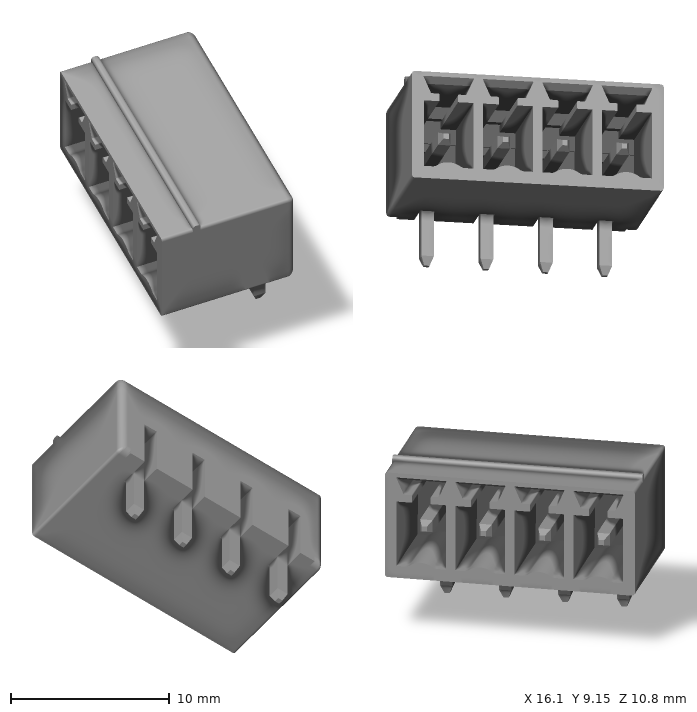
import cadquery as cq
import math


WAYS = 4
PITCH = 3.8

HOUSING_LENGTH = 16.12
HOUSING_DEPTH = 9.15
HOUSING_HEIGHT = 7.0
BACK_ROUND = 0.5
SIDE_ROUND = 0.2

RIB_FRONT = 2.13
RIB_WIDTH = 0.53
RIB_RISE = 0.3
RIB_ROUND = 0.21
RIB_ROOT = HOUSING_HEIGHT - SIDE_ROUND
RIB_TOP = HOUSING_HEIGHT + RIB_RISE

CAVITY_WIDTH = 3.19
CAVITY_FLOOR = 0.79
CAVITY_TOP = 5.1
CAVITY_DEPTH = 6.0

NECK_WIDTH = 1.2
NECK_ROUND = 0.08
KEYWAY_BOTTOM = 5.6
KEYWAY_TOP = 6.7
KEYWAY_BOTTOM_WIDTH = 2.25
KEYWAY_TOP_WIDTH = 3.25
KEYWAY_DEPTH = 5.48
KEYWAY_CORNER_ROUND = 0.1
LEAD_IN_DROP = 0.32
LEAD_IN_DEPTH = 0.63

RECESS_BOTTOM = 2.08
RECESS_TOP = 4.1
RECESS_DEPTH = 0.1

HUMP_WIDTH = 1.74
HUMP_HEIGHT = 0.32
HUMP_FLARE = 0.48

PIN_SIDE = 0.8
PIN_AXIS_HEIGHT = 3.08
PIN_CLEARANCE = 0.08
LEG_AXIS_Y = HOUSING_DEPTH - 1.61
LEG_LENGTH = 3.5
CONTACT_TIP_Y = 0.85
CONTACT_TAPER = 0.63
LEG_TAPER = 0.58
TIP_SIDE = 0.34
SLOT_WIDTH = PIN_SIDE + 2 * PIN_CLEARANCE

WAY_CENTRES = [(way - (WAYS - 1) / 2) * PITCH for way in range(WAYS)]
ROW_LENGTH = (WAYS - 1) * PITCH + CAVITY_WIDTH


def block(x_size, y_start, y_end, z_start, z_end):
    """Box centred on X = 0 that spans the given Y and Z ranges."""
    solid = cq.Workplane("XY").box(x_size, y_end - y_start, z_end - z_start, centered=(True, False, False))
    return solid.translate((0, y_start, z_start))


def make_shell():
    """Rounded block, square again along the lower back edge behind the pins."""
    shell = block(HOUSING_LENGTH, 0, HOUSING_DEPTH, 0, HOUSING_HEIGHT)
    shell = shell.faces(">Y").edges().fillet(BACK_ROUND)
    shell = shell.edges("|Y").fillet(SIDE_ROUND)
    back_bar = block(ROW_LENGTH, HOUSING_DEPTH - 2 * BACK_ROUND, HOUSING_DEPTH, 0, 2 * BACK_ROUND)
    return shell.union(back_bar)


def make_rib():
    """Full-length rib with a rounded top."""
    rib = block(HOUSING_LENGTH, RIB_FRONT, RIB_FRONT + RIB_WIDTH, RIB_ROOT, RIB_TOP)
    return rib.edges("|X and >Z").fillet(RIB_ROUND)


def make_hump():
    """Bar with a circular top and flared feet, lying on the cavity floor."""
    half_width = HUMP_WIDTH / 2
    radius = (half_width**2 + HUMP_HEIGHT**2) / (2 * HUMP_HEIGHT)
    crown_centre = CAVITY_FLOOR + HUMP_HEIGHT - radius
    foot_centre_z = CAVITY_FLOOR + HUMP_FLARE
    foot_x = math.sqrt((radius + HUMP_FLARE) ** 2 - (foot_centre_z - crown_centre) ** 2)
    share = radius / (radius + HUMP_FLARE)
    join_x = foot_x * share
    join_z = crown_centre + (foot_centre_z - crown_centre) * share
    angle = math.atan2(foot_x, foot_centre_z - crown_centre) / 2
    mid_x = foot_x - HUMP_FLARE * math.sin(angle)
    mid_z = foot_centre_z - HUMP_FLARE * math.cos(angle)
    return (
        cq.Workplane("XZ")
        .moveTo(-foot_x, CAVITY_FLOOR)
        .threePointArc((-mid_x, mid_z), (-join_x, join_z))
        .threePointArc((0, CAVITY_FLOOR + HUMP_HEIGHT), (join_x, join_z))
        .threePointArc((mid_x, mid_z), (foot_x, CAVITY_FLOOR))
        .close()
        .extrude(-CAVITY_DEPTH)
    )


def make_keyway():
    """Dovetail groove with rounded lower corners and a sloped lead-in at the front of its ceiling."""
    groove = (
        cq.Workplane("XZ")
        .polyline(
            [
                (-KEYWAY_BOTTOM_WIDTH / 2, KEYWAY_BOTTOM),
                (KEYWAY_BOTTOM_WIDTH / 2, KEYWAY_BOTTOM),
                (KEYWAY_TOP_WIDTH / 2, KEYWAY_TOP),
                (-KEYWAY_TOP_WIDTH / 2, KEYWAY_TOP),
            ]
        )
        .close()
        .extrude(-KEYWAY_DEPTH)
        .edges("|Y and <Z")
        .fillet(KEYWAY_CORNER_ROUND)
    )
    ceiling = (
        cq.Workplane("YZ")
        .polyline(
            [
                (0, KEYWAY_TOP),
                (LEAD_IN_DEPTH, KEYWAY_TOP - LEAD_IN_DROP),
                (KEYWAY_DEPTH, KEYWAY_TOP - LEAD_IN_DROP),
                (KEYWAY_DEPTH, KEYWAY_TOP),
            ]
        )
        .close()
        .extrude(KEYWAY_TOP_WIDTH / 2, both=True)
    )
    return groove.cut(ceiling)


def make_neck():
    """Opening between cavity and keyway, widened by a rounding at the top of each lip."""
    half = NECK_WIDTH / 2
    wide = half + NECK_ROUND
    diagonal = NECK_ROUND * (1 - math.sqrt(0.5))
    return (
        cq.Workplane("XZ")
        .moveTo(-half, CAVITY_TOP)
        .lineTo(half, CAVITY_TOP)
        .lineTo(half, KEYWAY_BOTTOM - NECK_ROUND)
        .threePointArc((half + diagonal, KEYWAY_BOTTOM - diagonal), (wide, KEYWAY_BOTTOM))
        .lineTo(-wide, KEYWAY_BOTTOM)
        .threePointArc((-half - diagonal, KEYWAY_BOTTOM - diagonal), (-half, KEYWAY_BOTTOM - NECK_ROUND))
        .close()
        .extrude(-CAVITY_DEPTH)
    )


def make_way_opening():
    """Everything removed from the housing for one pin and its mating plug."""
    cavity = block(CAVITY_WIDTH, 0, CAVITY_DEPTH, CAVITY_FLOOR, CAVITY_TOP).cut(make_hump())
    recess = block(CAVITY_WIDTH, CAVITY_DEPTH, CAVITY_DEPTH + RECESS_DEPTH, RECESS_BOTTOM, RECESS_TOP)
    half_slot = SLOT_WIDTH / 2
    contact_hole = block(
        SLOT_WIDTH, CAVITY_DEPTH, HOUSING_DEPTH, PIN_AXIS_HEIGHT - half_slot, PIN_AXIS_HEIGHT + half_slot
    )
    leg_slot = block(SLOT_WIDTH, LEG_AXIS_Y - half_slot, HOUSING_DEPTH, 0, PIN_AXIS_HEIGHT)
    opening = cavity.union(make_neck()).union(make_keyway())
    return opening.union(recess).union(contact_hole).union(leg_slot)


def make_housing():
    housing = make_shell().union(make_rib())
    opening = make_way_opening()
    for x in WAY_CENTRES:
        housing = housing.cut(opening.translate((x, 0, 0)))
    return housing


def tapered_tip(plane, length):
    """Square frustum that ends a pin, growing along the plane's normal."""
    return plane.rect(PIN_SIDE, PIN_SIDE).workplane(offset=length).rect(TIP_SIDE, TIP_SIDE).loft()


def make_pin(x):
    """Right-angled square pin with a tapered tip at both ends."""
    half = PIN_SIDE / 2
    contact_start = CONTACT_TIP_Y + CONTACT_TAPER
    leg_end = LEG_TAPER - LEG_LENGTH
    inner_y = LEG_AXIS_Y - half
    outer_y = LEG_AXIS_Y + half
    lower_z = PIN_AXIS_HEIGHT - half
    upper_z = PIN_AXIS_HEIGHT + half
    square_bar = (
        cq.Workplane("YZ")
        .polyline(
            [
                (contact_start, lower_z),
                (inner_y, lower_z),
                (inner_y, leg_end),
                (outer_y, leg_end),
                (outer_y, upper_z),
                (contact_start, upper_z),
            ]
        )
        .close()
        .extrude(half, both=True)
    )
    contact_base = cq.Workplane("XZ", origin=(0, contact_start, PIN_AXIS_HEIGHT))
    leg_base = cq.Workplane("XY", origin=(0, LEG_AXIS_Y, leg_end)).transformed(rotate=(180, 0, 0))
    contact_tip = tapered_tip(contact_base, CONTACT_TAPER)
    leg_tip = tapered_tip(leg_base, LEG_TAPER)
    return square_bar.union(contact_tip).union(leg_tip).translate((x, 0, 0))


housing = make_housing()
pins = [make_pin(x) for x in WAY_CENTRES]

result = cq.Compound.makeCompound([housing.val(), *[pin.val() for pin in pins]])